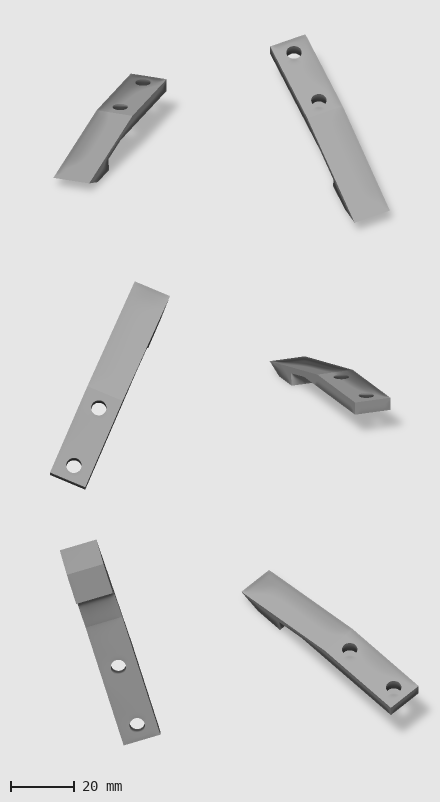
import cadquery as cq

length = 68.0
width = 12.0
height = 10.0

thickness = 4.0
top_bend = 30.0
bottom_bend = 40.45

tip_drop = 7.3
slope = tip_drop / (length - top_bend)
heel_root = 51.2
heel_root_depth = thickness + slope * (heel_root - bottom_bend)
heel = heel_root - slope * (height - heel_root_depth)
sole_length = 10.0

hole_diameter = 4.8
hole_inset = 5.0
hole_spacing = 20.0

profile = [
    (0, 0),
    (top_bend, 0),
    (length, tip_drop),
    (heel + sole_length, height),
    (heel, height),
    (heel_root, heel_root_depth),
    (bottom_bend, thickness),
    (0, thickness),
]

body = (
    cq.Workplane("YZ")
    .polyline([(length - distance, height - depth) for distance, depth in profile])
    .close()
    .extrude(width / 2, both=True)
)

first_hole = length - hole_inset
holes = (
    cq.Workplane("XY")
    .pushPoints([(0, first_hole), (0, first_hole - hole_spacing)])
    .circle(hole_diameter / 2)
    .extrude(height)
)

result = body.cut(holes)